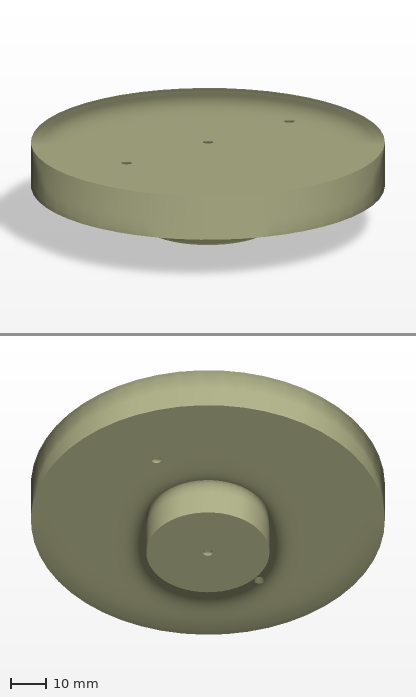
import cadquery as cq

disc_diameter = 100.0
total_height = 25.0
disc_thickness = 13.0
hub_diameter = 34.8
hub_height = total_height - disc_thickness
hole_diameter = 2.9
hole_spacing = 30.0

disc = cq.Workplane("XY").circle(disc_diameter / 2).extrude(disc_thickness)

hub = cq.Workplane("XY").circle(hub_diameter / 2).extrude(-hub_height)

hole_centers = [(0, row * hole_spacing) for row in (-1, 0, 1)]
holes = (
    cq.Workplane("XY")
    .workplane(offset=-hub_height)
    .pushPoints(hole_centers)
    .circle(hole_diameter / 2)
    .extrude(total_height)
)

result = disc.union(hub).cut(holes)